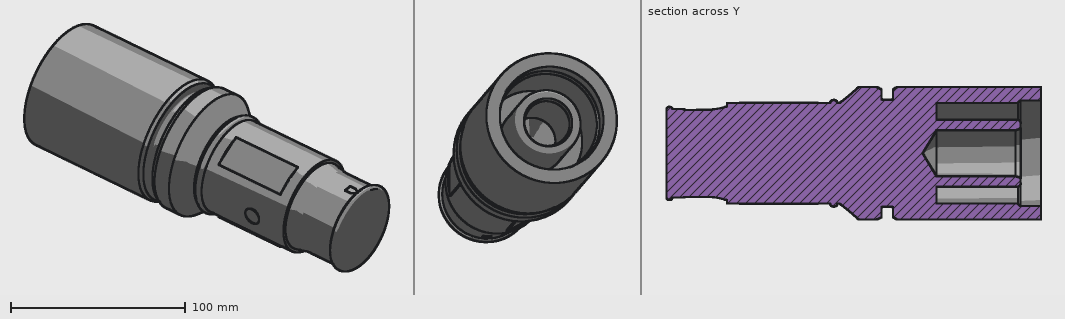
import cadquery as cq
import math

LENGTH = 214.88

SLEEVE_RADIUS = 38.1
SLEEVE_END = 85.0
SLEEVE_CHAMFER_LENGTH = 2.5
SLEEVE_CHAMFER_DROP = 1.4

GROOVE_RADIUS = 30.7
GROOVE_CORNER = 1.0

SHOULDER_START = 91.5
SHOULDER_CHAMFER_LENGTH = 2.7
SHOULDER_CHAMFER_DROP = 1.4
SHOULDER_END = 104.6
CONE_END = 115.6

BODY_RADIUS = 28.9
BODY_END = 180.2
BODY_BEAD_CENTRE = 118.9
BODY_BEAD_HALF_WIDTH = 2.2
BODY_BEAD_HEIGHT = 1.8

TAPER_START_RADIUS = 26.9
TAPER_END = 189.1
TAIL_RADIUS = 25.1
END_BEAD_RADIUS = 1.75

MOUTH_RADIUS = 30.2
MOUTH_DEPTH = 12.0
CAVITY_RADIUS = 28.8
CAVITY_TAPER_LENGTH = 1.4
CAVITY_DEPTH = 60.0

STEM_RADIUS = 19.3
STEM_START = 11.7
STEM_ROUNDING = 2.0
BORE_ENTRY_RADIUS = 14.1
BORE_RADIUS = 13.1
BORE_ENTRY_LENGTH = 3.0
BORE_END = 60.0
DRILL_TIP_HALF_ANGLE = math.radians(59)

PAD_COUNT = 3
PAD_LENGTH = 44.45
PAD_WIDTH = 19.05
PAD_CENTRE = 150.5
PAD_DISTANCE = 27.95
PAD_DEPTH = 10.0

BUTTON_CENTRE = 157.7
BUTTON_RADIUS = 5.0
BUTTON_DISTANCE = 28.95

ARROW_START = 204.5
ARROW_SHOULDER = 208.6
ARROW_TIP = 211.5
ARROW_WIDTH = 4.8
ARROW_DISTANCE = 25.4


def make_outer_body():
    """Revolve the outside outline about the X axis."""
    bead_start = BODY_BEAD_CENTRE - BODY_BEAD_HALF_WIDTH
    bead_end = BODY_BEAD_CENTRE + BODY_BEAD_HALF_WIDTH
    outline = (
        cq.Workplane("XY")
        .moveTo(0, 0)
        .lineTo(0, SLEEVE_RADIUS)
        .lineTo(SLEEVE_END - SLEEVE_CHAMFER_LENGTH, SLEEVE_RADIUS)
        .lineTo(SLEEVE_END, SLEEVE_RADIUS - SLEEVE_CHAMFER_DROP)
        .lineTo(SLEEVE_END, GROOVE_RADIUS + GROOVE_CORNER)
        .radiusArc((SLEEVE_END + GROOVE_CORNER, GROOVE_RADIUS), -GROOVE_CORNER)
        .lineTo(SHOULDER_START - GROOVE_CORNER, GROOVE_RADIUS)
        .radiusArc((SHOULDER_START, GROOVE_RADIUS + GROOVE_CORNER), -GROOVE_CORNER)
        .lineTo(SHOULDER_START, SLEEVE_RADIUS - SHOULDER_CHAMFER_DROP)
        .lineTo(SHOULDER_START + SHOULDER_CHAMFER_LENGTH, SLEEVE_RADIUS)
        .lineTo(SHOULDER_END, SLEEVE_RADIUS)
        .lineTo(CONE_END, BODY_RADIUS)
        .lineTo(bead_start, BODY_RADIUS)
        .threePointArc((BODY_BEAD_CENTRE, BODY_RADIUS + BODY_BEAD_HEIGHT), (bead_end, BODY_RADIUS))
        .lineTo(BODY_END, BODY_RADIUS)
        .lineTo(BODY_END, TAPER_START_RADIUS)
        .lineTo(TAPER_END, TAIL_RADIUS)
        .lineTo(LENGTH - 2 * END_BEAD_RADIUS, TAIL_RADIUS)
        .radiusArc((LENGTH, TAIL_RADIUS), END_BEAD_RADIUS)
        .lineTo(LENGTH, 0)
        .close()
    )
    return outline.revolve(360, (0, 0, 0), (1, 0, 0))


def make_cavity():
    """Stepped hollow of the sleeve, before the stem is put back."""
    outline = (
        cq.Workplane("XY")
        .moveTo(0, 0)
        .lineTo(0, MOUTH_RADIUS)
        .lineTo(MOUTH_DEPTH, MOUTH_RADIUS)
        .lineTo(MOUTH_DEPTH + CAVITY_TAPER_LENGTH, CAVITY_RADIUS)
        .lineTo(CAVITY_DEPTH, CAVITY_RADIUS)
        .lineTo(CAVITY_DEPTH, 0)
        .close()
    )
    return outline.revolve(360, (0, 0, 0), (1, 0, 0))


def make_stem():
    """Solid stem with a rounded free end, rooted in the cavity floor."""
    stem = cq.Workplane("YZ", origin=(STEM_START, 0, 0)).circle(STEM_RADIUS)
    return stem.extrude(CAVITY_DEPTH - STEM_START).faces("<X").edges().fillet(STEM_ROUNDING)


def make_stem_bore():
    """Blind bore with a tapered entry and a conical drill point."""
    tip = BORE_END + BORE_RADIUS / math.tan(DRILL_TIP_HALF_ANGLE)
    outline = (
        cq.Workplane("XY")
        .moveTo(STEM_START, 0)
        .lineTo(STEM_START, BORE_ENTRY_RADIUS)
        .lineTo(STEM_START + BORE_ENTRY_LENGTH, BORE_RADIUS)
        .lineTo(BORE_END, BORE_RADIUS)
        .lineTo(tip, 0)
        .close()
    )
    return outline.revolve(360, (0, 0, 0), (1, 0, 0))


def add_pads(body):
    """Give the body flat pads: sunk at the middle, proud at the long edges."""
    pad_size = (PAD_LENGTH, PAD_DEPTH, PAD_WIDTH)
    pad = cq.Workplane("XY").box(*pad_size).translate((PAD_CENTRE, PAD_DISTANCE - PAD_DEPTH / 2, 0))
    relief = pad.translate((0, PAD_DEPTH, 0))
    for index in range(PAD_COUNT):
        angle = index * 360 / PAD_COUNT
        body = body.cut(relief.rotate((0, 0, 0), (1, 0, 0), angle))
        body = body.union(pad.rotate((0, 0, 0), (1, 0, 0), angle))
    return body


def make_button():
    """Flat-topped disc facing -Y, rooted on the axis plane."""
    disc = cq.Workplane("XZ").center(BUTTON_CENTRE, 0).circle(BUTTON_RADIUS)
    return disc.extrude(BUTTON_DISTANCE)


def make_arrow():
    """Flat-topped arrow on the +Z side of the tail, rooted on the axis plane."""
    half_width = ARROW_WIDTH / 2
    outline = [
        (ARROW_START, -half_width),
        (ARROW_SHOULDER, -half_width),
        (ARROW_TIP, 0),
        (ARROW_SHOULDER, half_width),
        (ARROW_START, half_width),
    ]
    return cq.Workplane("XY").polyline(outline).close().extrude(ARROW_DISTANCE)


body = make_outer_body().cut(make_cavity()).union(make_stem()).cut(make_stem_bore())
body = add_pads(body).union(make_button())
top_arrow = make_arrow()
bottom_arrow = top_arrow.mirror("XY")
result = body.union(top_arrow).union(bottom_arrow)